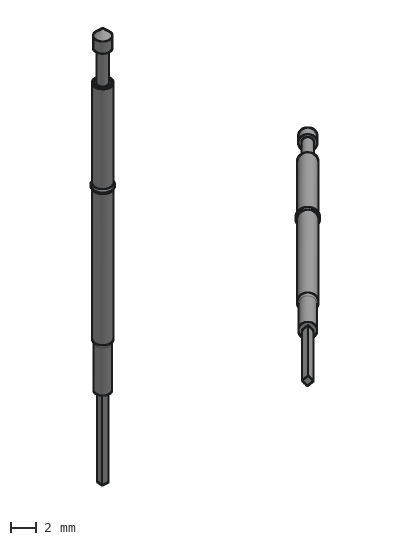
import cadquery as cq
import math


BARREL_DIAMETER = 1.68
BARREL_BOTTOM = -25.0
SLEEVE_DIAMETER = 1.47
SLEEVE_BOTTOM = -30.0
SHOULDER_RADIUS = 0.7
RING_DIAMETER = 1.93
RING_CREST = -10.0
RING_HALF_HEIGHT = 0.24
TAIL_WIDTH = 0.64
TAIL_BOTTOM = -39.0
BORE_DIAMETER = 1.38
BORE_DEPTH = -BARREL_BOTTOM

BODY_DIAMETER = 1.36
SHAFT_DIAMETER = 1.0
HEAD_DIAMETER = 1.5
HEAD_BOTTOM = 3.4
TIP_TOP = 5.35
TIP_HEIGHT = HEAD_DIAMETER / 2


def make_probe():
    """Body, shaft and head turned about Z."""
    body_radius = BODY_DIAMETER / 2
    shaft_radius = SHAFT_DIAMETER / 2
    head_radius = HEAD_DIAMETER / 2
    profile = (
        cq.Workplane("XZ")
        .moveTo(0, -BORE_DEPTH)
        .lineTo(body_radius, -BORE_DEPTH)
        .lineTo(body_radius, 0)
        .lineTo(shaft_radius, 0)
        .lineTo(shaft_radius, HEAD_BOTTOM)
        .lineTo(head_radius, HEAD_BOTTOM)
        .lineTo(head_radius, TIP_TOP - TIP_HEIGHT)
        .lineTo(0, TIP_TOP)
        .close()
    )
    return profile.revolve(360, (0, 0, 0), (0, 1, 0))


def make_barrel():
    """Barrel that narrows to the sleeve through a hollow curve tangent to the sleeve."""
    barrel_radius = BARREL_DIAMETER / 2
    sleeve_radius = SLEEVE_DIAMETER / 2
    step = barrel_radius - sleeve_radius
    shoulder_height = math.sqrt(SHOULDER_RADIUS**2 - (SHOULDER_RADIUS - step) ** 2)
    profile = (
        cq.Workplane("XZ")
        .moveTo(0, SLEEVE_BOTTOM)
        .lineTo(sleeve_radius, SLEEVE_BOTTOM)
        .lineTo(sleeve_radius, BARREL_BOTTOM - shoulder_height)
        .tangentArcPoint((barrel_radius, BARREL_BOTTOM), relative=False)
        .lineTo(barrel_radius, RING_CREST - RING_HALF_HEIGHT)
        .lineTo(RING_DIAMETER / 2, RING_CREST)
        .lineTo(barrel_radius, RING_CREST + RING_HALF_HEIGHT)
        .lineTo(barrel_radius, 0)
        .lineTo(0, 0)
        .close()
    )
    return profile.revolve(360, (0, 0, 0), (0, 1, 0))


def make_tail():
    """Square post below the sleeve."""
    base = cq.Workplane("XY", origin=(0, 0, TAIL_BOTTOM))
    return base.rect(TAIL_WIDTH, TAIL_WIDTH).extrude(SLEEVE_BOTTOM - TAIL_BOTTOM)


def make_receptacle():
    """Barrel and tail in one piece, bored from the mouth for the probe."""
    bore = cq.Workplane("XY").circle(BORE_DIAMETER / 2).extrude(-BORE_DEPTH)
    return make_barrel().union(make_tail()).cut(bore)


probe = make_probe()
receptacle = make_receptacle()

result = cq.Compound.makeCompound([probe.val(), receptacle.val()])